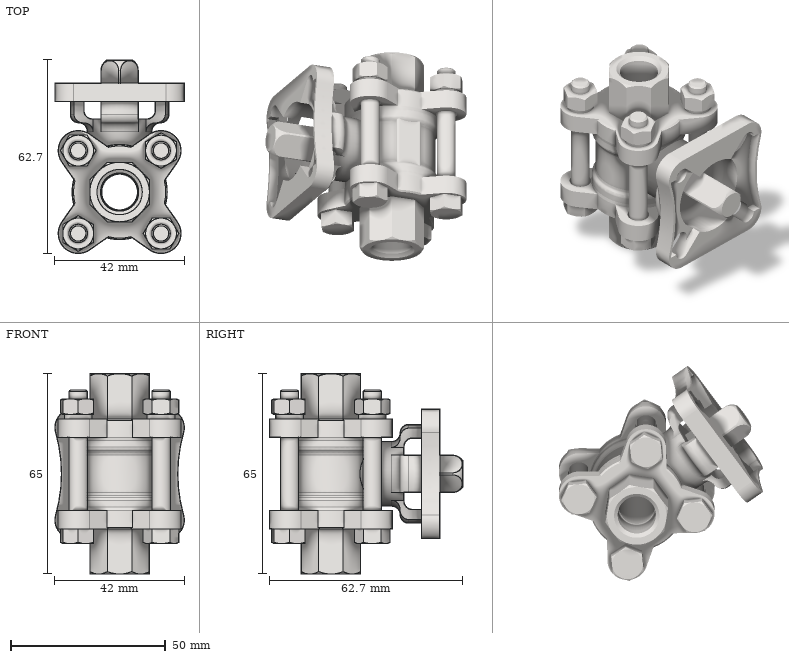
import cadquery as cq
import math


total_length = 65.0
octagon_flats = 19.3
octagon_chamfer_angle = 45.0
flange_inner_z = 11.85
flange_outer_z = 17.85
flange_disc_radius = 15.45
flange_chamfer = 0.5
ear_radius = 6.5
ear_flare_angle = 10.0
bore_diameter = 11.6
mouth_step_diameter = 12.4
mouth_diameter = 14.7
mouth_step_depth = 12.0

bolt_circle_radius = 19.0
bolt_diameter = 6.0
bolt_hole_diameter = 7.0
bolt_tip_z = 27.2
bolt_tip_chamfer = 0.5
washer_diameter = 9.0
washer_height = 1.4
hex_flats = 10.0
hex_chamfer_angle = 30.0
nut_height = 5.1
head_height = 4.8

barrel_radius = 14.1
rim_radius = 15.25
rim_start_z = 6.1
rim_slope_start_z = 7.1
rim_slope_end_z = 7.6
rim_full_z = 8.65
rim_end_z = 10.75
rim_slope_start_radius = 14.48
rim_slope_end_radius = 14.88

pad_face_x = 14.45
pad_face_half_width = 3.5
pad_edge_x = 13.8
pad_edge_half_width = 4.3
pad_foot_x = 13.2
pad_foot_half_width = 4.9
pad_half_height = rim_slope_end_z
pad_root_x = 10.0

neck_radius = 10.5
neck_top_y = 23.7
arm_width = 12.1
arm_outer_radius = 16.0
arm_inner_radius = 13.0
arm_bend_radius = (arm_outer_radius - neck_radius) / 2
arm_foot_y = 19.7
arm_inner_fillet = 2.5

plate_size = 42.0
plate_bottom_y = 29.3
plate_thickness = 6.0
plate_corner_radius = 6.0
plate_waist = 37.8
tray_wall = 0.9
tray_depth = 3.0
slot_width = 5.5
slot_inner_radius = 18.0
slot_outer_radius = 21.0

stem_diameter = 12.1
stem_square = 9.0
stem_tip_y = 42.77
stem_tip_radius = 4.25
stem_rounding_length = 3.4

bolt_offset = bolt_circle_radius / math.sqrt(2)
plate_top_y = plate_bottom_y + plate_thickness


def cylinder(radius, z_start, z_end):
    """Upright cylinder on the Z axis."""
    return cq.Workplane("XY").workplane(offset=z_start).circle(radius).extrude(z_end - z_start)


def prism(sides, flats, z_start, z_end):
    """Upright regular prism with one pair of flats facing +Y and -Y."""
    corner_diameter = flats / math.cos(math.pi / sides)
    blank = (
        cq.Workplane("XY")
        .workplane(offset=z_start)
        .polygon(sides, corner_diameter)
        .extrude(z_end - z_start)
    )
    if sides % 4 == 0:
        blank = blank.rotate((0, 0, 0), (0, 0, 1), 180 / sides)
    return blank


def crowned_prism(sides, flats, z_start, z_end, angle, crown_start, crown_end):
    """Regular prism whose corners are turned to a cone at the chosen ends."""
    corner_radius = flats / 2 / math.cos(math.pi / sides)
    drop = (corner_radius - flats / 2) * math.tan(math.radians(angle))
    turned = cylinder(corner_radius, z_start, z_end)
    if crown_end:
        turned = turned.faces(">Z").edges().chamfer(drop, corner_radius - flats / 2)
    if crown_start:
        turned = turned.faces("<Z").edges().chamfer(drop, corner_radius - flats / 2)
    return prism(sides, flats, z_start, z_end).intersect(turned)


def make_flange():
    """Upper flange: chamfered disc with four flared, drilled ears."""
    thickness = flange_outer_z - flange_inner_z
    disc = cylinder(flange_disc_radius, flange_inner_z, flange_outer_z)
    flange = disc.faces(">Z").edges().chamfer(flange_chamfer)
    flare = math.radians(ear_flare_angle)
    tangent_x = bolt_circle_radius + ear_radius * math.sin(flare)
    tangent_y = ear_radius * math.cos(flare)
    root_half_width = tangent_y + tangent_x * math.tan(flare)
    for angle in (45, 135, 225, 315):
        ear = (
            cq.Workplane("XY")
            .workplane(offset=flange_inner_z)
            .moveTo(0, -root_half_width)
            .lineTo(tangent_x, -tangent_y)
            .threePointArc((bolt_circle_radius + ear_radius, 0), (tangent_x, tangent_y))
            .lineTo(0, root_half_width)
            .close()
            .extrude(thickness)
        )
        flange = flange.union(ear.rotate((0, 0, 0), (0, 0, 1), angle))
    holes = (
        cq.Workplane("XY")
        .workplane(offset=flange_inner_z)
        .rect(2 * bolt_offset, 2 * bolt_offset, forConstruction=True)
        .vertices()
        .circle(bolt_hole_diameter / 2)
        .extrude(thickness)
    )
    return flange.cut(holes)


def make_end_cap():
    """Upper end cap: flange with an octagonal pipe connection."""
    octagon = crowned_prism(
        8, octagon_flats, 0, total_length / 2, octagon_chamfer_angle, False, True
    )
    return make_flange().union(octagon)


def make_bolt(angle):
    """Bolt on the Z axis with its head, washer and nut; the hexes are turned by the angle."""
    shank = cylinder(bolt_diameter / 2, -flange_outer_z, bolt_tip_z)
    shank = shank.faces(">Z").edges().chamfer(bolt_tip_chamfer)
    washer_top = flange_outer_z + washer_height
    washer = cylinder(washer_diameter / 2, flange_outer_z, washer_top)
    nut = crowned_prism(
        6, hex_flats, washer_top, washer_top + nut_height, hex_chamfer_angle, True, True
    )
    head = crowned_prism(
        6, hex_flats, -flange_outer_z - head_height, -flange_outer_z, hex_chamfer_angle, True, False
    )
    bolt = shank.union(washer).union(nut).union(head)
    return bolt.rotate((0, 0, 0), (0, 0, 1), angle)


def make_barrel():
    """Turned body with a thicker rim blending up to each flange."""
    half = (
        cq.Workplane("XZ")
        .lineTo(barrel_radius, 0)
        .lineTo(barrel_radius, rim_start_z)
        .tangentArcPoint((rim_slope_start_radius, rim_slope_start_z), relative=False)
        .lineTo(rim_slope_end_radius, rim_slope_end_z)
        .tangentArcPoint((rim_radius, rim_full_z), relative=False)
        .lineTo(rim_radius, rim_end_z)
        .lineTo(flange_disc_radius, flange_inner_z)
        .lineTo(0, flange_inner_z)
        .close()
        .revolve(360, (0, 0), (0, 1))
    )
    return half.union(half.mirror("XY"))


def make_pad():
    """Flat pad on the -X side with rounded edges blending into the barrel."""
    half = (
        cq.Workplane("XY")
        .workplane(offset=-pad_half_height)
        .moveTo(-pad_face_x, 0)
        .lineTo(-pad_face_x, pad_face_half_width)
        .tangentArcPoint((-pad_edge_x, pad_edge_half_width), relative=False)
        .tangentArcPoint((-pad_foot_x, pad_foot_half_width), relative=False)
        .lineTo(-pad_root_x, pad_foot_half_width)
        .lineTo(-pad_root_x, 0)
        .close()
        .extrude(2 * pad_half_height)
    )
    return half.union(half.mirror("XZ"))


def make_neck():
    """Cylindrical neck that carries the stem."""
    return cq.Workplane("XZ").circle(neck_radius).extrude(-neck_top_y)


def make_bracket():
    """Four S-shaped arms, cut as a cross from one turned shell."""
    bend_y = arm_foot_y + arm_bend_radius
    shoulder_y = arm_foot_y + 2 * arm_bend_radius
    middle_radius = neck_radius + arm_bend_radius
    shell = (
        cq.Workplane("XY")
        .moveTo(arm_inner_radius, plate_bottom_y)
        .lineTo(arm_outer_radius, plate_bottom_y)
        .lineTo(arm_outer_radius, shoulder_y)
        .tangentArcPoint((middle_radius, bend_y), relative=False)
        .tangentArcPoint((neck_radius, arm_foot_y), relative=False)
        .lineTo(neck_radius / 2, arm_foot_y)
        .lineTo(neck_radius / 2, neck_top_y)
        .lineTo(arm_inner_radius - arm_inner_fillet, neck_top_y)
        .tangentArcPoint((arm_inner_radius, neck_top_y + arm_inner_fillet), relative=False)
        .close()
        .revolve(360, (0, 0), (0, 1))
    )
    span = 2 * arm_outer_radius
    cross = (
        cq.Workplane("XZ")
        .rect(span, arm_width)
        .extrude(-plate_bottom_y)
        .union(cq.Workplane("XZ").rect(arm_width, span).extrude(-plate_bottom_y))
    )
    return shell.intersect(cross)


def plate_outline(y):
    """Plate outline at height y, with rounded corners and waisted X sides."""
    half = plate_size / 2
    corner = half - plate_corner_radius
    waist = plate_waist / 2
    inset = waist - corner
    waist_radius = (inset**2 + corner**2 - plate_corner_radius**2) / (2 * (plate_corner_radius - inset))
    blend_angle = math.asin(corner / (plate_corner_radius + waist_radius))
    blend_x = corner + plate_corner_radius * math.cos(blend_angle)
    blend_z = corner - plate_corner_radius * math.sin(blend_angle)
    rounding = corner + plate_corner_radius / math.sqrt(2)
    return (
        cq.Workplane("XZ", origin=(0, y, 0))
        .moveTo(-corner, half)
        .lineTo(corner, half)
        .threePointArc((rounding, rounding), (blend_x, blend_z))
        .threePointArc((waist, 0), (blend_x, -blend_z))
        .threePointArc((rounding, -rounding), (corner, -half))
        .lineTo(-corner, -half)
        .threePointArc((-rounding, -rounding), (-blend_x, -blend_z))
        .threePointArc((-waist, 0), (-blend_x, blend_z))
        .threePointArc((-rounding, rounding), (-corner, half))
        .close()
    )


def make_plate():
    """Mounting plate with a shallow tray on top, a central hole and four radial slots."""
    plate = plate_outline(plate_bottom_y).extrude(-plate_thickness)
    tray = plate_outline(plate_top_y - tray_depth).offset2D(-tray_wall).extrude(-tray_depth)
    hole = cq.Workplane("XZ", origin=(0, plate_bottom_y, 0)).circle(arm_inner_radius)
    half = plate_size / 2
    apex_z = slot_width / math.sqrt(2)
    slot_end = slot_outer_radius / math.sqrt(2)
    flank_x = slot_end - apex_z / 2
    flank_z = slot_end + apex_z / 2
    bow_tie = (
        cq.Workplane("XZ", origin=(0, plate_bottom_y, 0))
        .moveTo(0, apex_z)
        .lineTo(flank_x, flank_z)
        .lineTo(slot_end, slot_end)
        .lineTo(half, slot_end)
        .lineTo(half, 0)
        .lineTo(0, 0)
        .close()
        .extrude(-plate_thickness)
    )
    bow_tie = bow_tie.union(bow_tie.mirror("XY"))
    bow_tie = bow_tie.union(bow_tie.mirror("YZ"))
    plate = plate.cut(tray.intersect(bow_tie)).cut(hole.extrude(-plate_thickness))
    slot_middle = (slot_inner_radius + slot_outer_radius) / 2
    slot_length = slot_outer_radius - slot_inner_radius + slot_width
    for angle in (45, 135, 225, 315):
        slot = (
            cq.Workplane("XZ", origin=(0, plate_bottom_y, 0))
            .center(slot_middle, 0)
            .slot2D(slot_length, slot_width)
            .extrude(-plate_thickness)
        )
        plate = plate.cut(slot.rotate((0, 0, 0), (0, 1, 0), angle))
    return plate


def make_stem():
    """Round stem with four flats set at 45 degrees and a rounded tip."""
    radius = stem_diameter / 2
    turned = (
        cq.Workplane("XY")
        .lineTo(radius, 0)
        .lineTo(radius, stem_tip_y - stem_rounding_length)
        .tangentArcPoint((stem_tip_radius, stem_tip_y), relative=False)
        .lineTo(0, stem_tip_y)
        .close()
        .revolve(360, (0, 0), (0, 1))
    )
    square = cq.Workplane("XZ").rect(stem_square, stem_square).extrude(-stem_tip_y)
    return turned.intersect(square.rotate((0, 0, 0), (0, 1, 0), 45))


def make_bore():
    """Flow passage with a larger threaded length and a countersunk mouth at each end."""
    end_z = total_length / 2
    step = mouth_step_diameter / 2
    mouth = mouth_diameter / 2
    upper = (
        cq.Workplane("XZ")
        .lineTo(bore_diameter / 2, 0)
        .lineTo(bore_diameter / 2, end_z - mouth_step_depth)
        .lineTo(step, end_z - mouth_step_depth)
        .lineTo(step, end_z - (mouth - step))
        .lineTo(mouth, end_z)
        .lineTo(0, end_z)
        .close()
        .revolve(360, (0, 0), (0, 1))
    )
    return upper.union(upper.mirror("XY"))


end_cap = make_end_cap()
result = make_barrel().union(make_pad()).union(make_neck())
result = result.union(make_bracket()).union(make_plate()).union(make_stem())
result = result.union(end_cap).union(end_cap.mirror("XY"))
for x_side in (-1, 1):
    for y_side in (-1, 1):
        hex_turn = 30 if x_side == y_side else 0
        bolt = make_bolt(hex_turn)
        result = result.union(bolt.translate((x_side * bolt_offset, y_side * bolt_offset, 0)))
result = result.cut(make_bore())